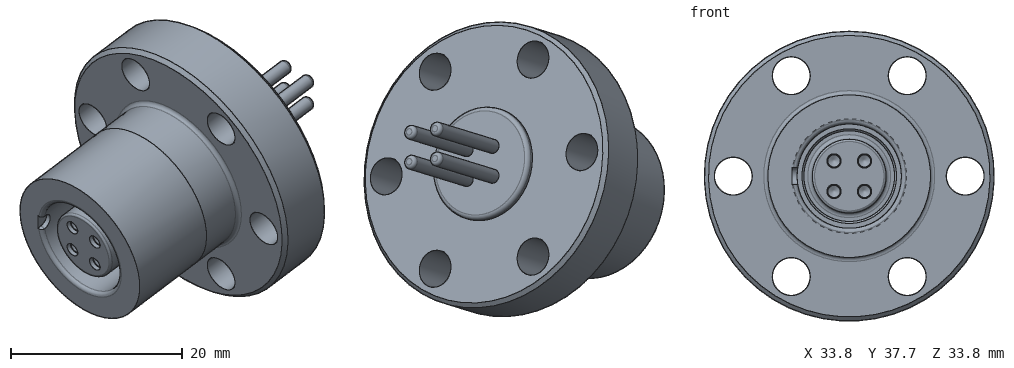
import cadquery as cq
import math


flange_thickness = 7.3
neck_length = 5.47
shell_length = 11.5
seal_protrusion = 0.85
pin_protrusion = 12.6

flange_diameter = 33.78
flange_chamfer = 0.5
bolt_count = 6
bolt_circle_radius = 13.5
bolt_hole_radius = 2.2
neck_fillet = 0.5

shell_radius = 9.47
socket_radius = 6.08
mouth_fillet = 0.5
keyway_width = 2.0
keyway_reach = 6.65
keyway_length = 1.5

seal_radius = 6.68
seal_fillet = 0.53

ring_thickness = 1.5
ring_inner_radius = 5.3
ring_chamfer = 0.23

insulator_base_thickness = 0.75
insulator_radius = 4.3
insulator_recess = 0.65
insulator_base_fillet = 0.53
insulator_tip_fillet = 0.25

contact_offset = 1.77
contact_radius = 0.83
contact_tip_fillet = 0.45
contact_recess = 0.55
contact_cone_radius = 0.7
contact_cone_depth = 0.4

flange_front = -flange_thickness
neck_front = flange_front - neck_length
shell_front = neck_front - shell_length
ring_front = neck_front - ring_thickness
insulator_base_front = neck_front - insulator_base_thickness
insulator_front = shell_front + insulator_recess
seal_rear = seal_protrusion
contact_front = insulator_front + contact_recess
contact_rear = seal_rear + pin_protrusion

contact_centers = [
    (x, z)
    for x in (-contact_offset, contact_offset)
    for z in (-contact_offset, contact_offset)
]


def cylinder(radius, y_start, y_end, center=(0, 0)):
    """Round bar parallel to Y, centred on the given (x, z)."""
    x, z = center
    start = cq.Vector(x, y_start, z)
    return cq.Workplane(cq.Solid.makeCylinder(radius, y_end - y_start, start, cq.Vector(0, 1, 0)))


def drill_contact_holes(body):
    """Cut the four through holes in which the contacts sit."""
    for center in contact_centers:
        body = body.cut(cylinder(contact_radius, shell_front, contact_rear, center))
    return body


def make_flange():
    disc = cylinder(flange_diameter / 2, flange_front, 0).faces("<Y or >Y").chamfer(flange_chamfer)

    fillet_center_radius = shell_radius + neck_fillet
    fillet_mid_shift = neck_fillet * (1 - math.sqrt(0.5))
    neck = (
        cq.Workplane("YZ")
        .moveTo(neck_front, 0)
        .lineTo(neck_front, shell_radius)
        .lineTo(flange_front - neck_fillet, shell_radius)
        .threePointArc(
            (flange_front - fillet_mid_shift, shell_radius + fillet_mid_shift),
            (flange_front, fillet_center_radius),
        )
        .lineTo(flange_front, 0)
        .close()
        .revolve(360, (0, 0, 0), (1, 0, 0))
    )
    flange = disc.union(neck).cut(cylinder(seal_radius, neck_front, 0))

    for i in range(bolt_count):
        angle = 2 * math.pi * i / bolt_count
        center = (bolt_circle_radius * math.cos(angle), bolt_circle_radius * math.sin(angle))
        flange = flange.cut(cylinder(bolt_hole_radius, flange_front, 0, center))
    return flange


def make_shell():
    shell = cylinder(shell_radius, shell_front, neck_front)
    shell = shell.cut(cylinder(socket_radius, shell_front, neck_front))
    shell = shell.faces("<Y").edges(cq.selectors.RadiusNthSelector(0)).fillet(mouth_fillet)

    end_radius = keyway_width / 2
    end_center = shell_front + keyway_length - end_radius
    keyway = (
        cq.Workplane("XY")
        .moveTo(-keyway_reach, shell_front)
        .lineTo(0, shell_front)
        .lineTo(0, end_center)
        .lineTo(-keyway_reach, end_center)
        .close()
        .extrude(end_radius, both=True)
    )
    round_end = cq.Workplane(
        cq.Solid.makeCylinder(end_radius, keyway_reach, cq.Vector(0, end_center, 0), cq.Vector(-1, 0, 0))
    )
    return shell.cut(keyway).cut(round_end)


def make_ring():
    ring = cylinder(socket_radius, ring_front, neck_front)
    ring = ring.cut(cylinder(ring_inner_radius, ring_front, neck_front))
    return ring.faces("<Y").edges(cq.selectors.RadiusNthSelector(0)).chamfer(ring_chamfer)


def make_insulator():
    base = cylinder(ring_inner_radius, insulator_base_front, neck_front)
    core = cylinder(insulator_radius, insulator_front, neck_front)
    core = core.faces("<Y").edges().fillet(insulator_tip_fillet)
    insulator = base.union(core)

    base_face = insulator.faces(cq.selectors.NearestToPointSelector((0, insulator_base_front, 0)))
    insulator = base_face.edges(cq.selectors.RadiusNthSelector(0)).fillet(insulator_base_fillet)
    return drill_contact_holes(insulator)


def make_rear_seal():
    seal = cylinder(seal_radius, neck_front, seal_rear).faces(">Y").edges().fillet(seal_fillet)
    return drill_contact_holes(seal)


def make_contact(center):
    """Pin with a rounded rear tip and a conical recess in its front end."""
    x, z = center
    contact = cylinder(contact_radius, contact_front, contact_rear, center)
    contact = contact.faces(">Y").edges().fillet(contact_tip_fillet)
    toward_rear = cq.Vector(0, 1, 0)
    cone_center = cq.Vector(x, contact_front, z)
    cone = cq.Solid.makeCone(contact_cone_radius, 0, contact_cone_depth, cone_center, toward_rear)
    return contact.cut(cq.Workplane(cone))


flange = make_flange()
shell = make_shell()
ring = make_ring()
insulator = make_insulator()
rear_seal = make_rear_seal()
contacts = [make_contact(center) for center in contact_centers]

result = cq.Compound.makeCompound(
    [
        flange.val(),
        shell.val(),
        ring.val(),
        insulator.val(),
        rear_seal.val(),
        *[contact.val() for contact in contacts],
    ]
)